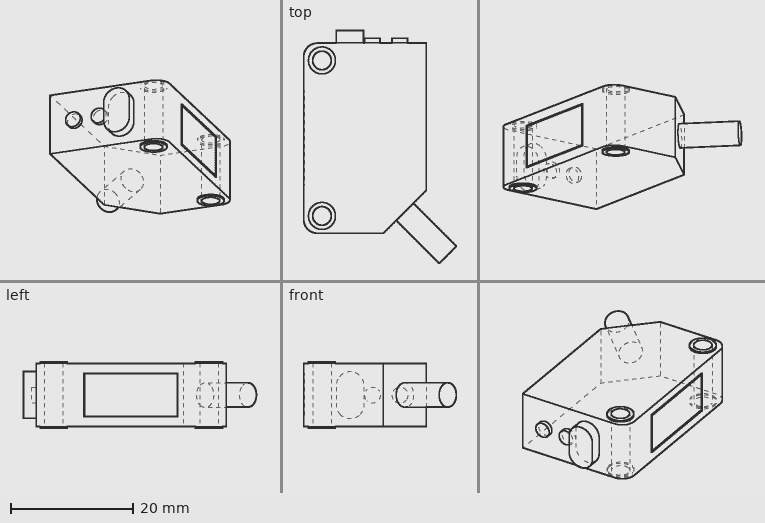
import cadquery as cq
import math


overall_length = 38.1
body_width = 20.07
body_length = 31.12
body_thickness = 10.32
corner_radius = 2.3
chamfer = 7.05

bushing_diameter = 4.4
bushing_hole_diameter = 3.0
bushing_rise = 0.248
bushing_x = 3.0
bushing_end_offset = 2.85

lens_x = 7.58
lens_width = 4.5
lens_height = 7.7
lens_depth = 2.05
pin_positions_x = (11.25, 15.75)
pin_diameter = 2.6
pin_depth = 0.8

frame_length = 15.4
frame_height = 7.12
frame_center_y = 15.6
groove_width = 0.1
groove_depth = 0.1

cable_diameter = 4.0
cable_tip_drop = overall_length - body_length - lens_depth


def make_housing():
    """Block with two rounded left corners and one large chamfered corner."""
    from_corner = (False, False, True)
    block = cq.Workplane("XY").box(body_width, body_length, body_thickness, centered=from_corner)
    block = block.edges("|Z and <X").fillet(corner_radius)
    return block.edges("|Z and >X and <Y").chamfer(chamfer)


def bushing_cylinders(diameter):
    """Cylinders at both bushings, as tall as the bushings."""
    height = body_thickness + 2 * bushing_rise
    centers = [(bushing_x, bushing_end_offset), (bushing_x, body_length - bushing_end_offset)]
    base = cq.Workplane("XY").workplane(offset=-height / 2)
    return base.pushPoints(centers).circle(diameter / 2).extrude(height)


def back_face():
    """Workplane on the back face, its X axis along +X and its normal along +Y."""
    return cq.Workplane(cq.Plane(origin=(0, body_length, 0), xDir=(1, 0, 0), normal=(0, 1, 0)))


def make_lens():
    """Upright rounded-end lens standing out of the back face."""
    return back_face().center(lens_x, 0).slot2D(lens_height, lens_width, 90).extrude(lens_depth)


def make_pins():
    """Short round indicator pins beside the lens."""
    centers = [(x, 0) for x in pin_positions_x]
    return back_face().pushPoints(centers).circle(pin_diameter / 2).extrude(pin_depth)


def make_frame_groove():
    """Thin rectangular ring cut into the left face."""
    plane = cq.Workplane("YZ").center(frame_center_y, 0)
    outer = plane.rect(frame_length, frame_height).extrude(groove_depth)
    inner = plane.rect(frame_length - 2 * groove_width, frame_height - 2 * groove_width).extrude(groove_depth)
    return outer.cut(inner)


def make_cable():
    """Straight cable stub leaving the middle of the chamfer face."""
    start_x = body_width - chamfer / 2
    start_y = chamfer / 2
    axis_drop = start_y + cable_tip_drop - cable_diameter / 2 * math.sqrt(0.5)
    length = axis_drop * math.sqrt(2)
    plane = cq.Plane(origin=(start_x, start_y, 0), xDir=(0, 0, 1), normal=(1, -1, 0))
    return cq.Workplane(plane).circle(cable_diameter / 2).extrude(length)


result = (
    make_housing()
    .cut(make_frame_groove())
    .union(bushing_cylinders(bushing_diameter))
    .union(make_lens())
    .union(make_pins())
    .union(make_cable())
    .cut(bushing_cylinders(bushing_hole_diameter))
)